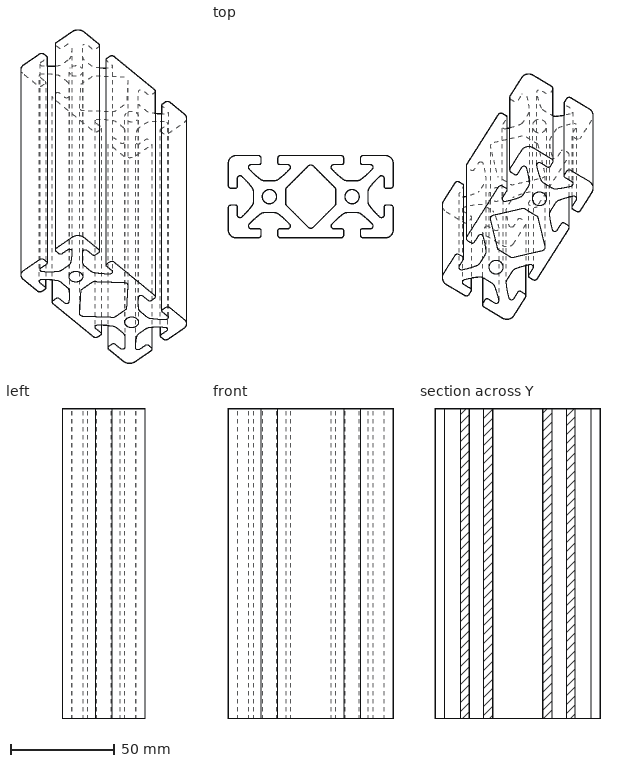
import cadquery as cq
import math

cell = 40.0
cell_count = 2
length = 150.0
width = cell * cell_count
half_cell = cell / 2
corner_radius = 4.0

slot_opening = 8.0
lip_thickness = 4.5
slot_depth = 12.25
lip_outer_radius = 1.5
lip_inner_radius = 1.0
slot_floor_width = 4.4
floor_radius = 3.7
floor_arc_angle = 37.0
slot_wall_radius = 40.0
undercut_radius = 1.3

core_hole_diameter = 6.8
cavity_half_width = 12.0
cavity_reach = 16.0
cavity_side_radius = 1.0
cavity_apex_radius = 1.8

cell_centers = [(index + 0.5) * cell - width / 2 for index in range(cell_count)]


def vertical_edges_at(points):
    """Select the upright edges that pass through the given (x, y) points."""
    tolerance = 0.01
    selector = None
    for x, y in points:
        box = cq.selectors.BoxSelector(
            (x - tolerance, y - tolerance, -tolerance),
            (x + tolerance, y + tolerance, length + tolerance),
        )
        selector = box if selector is None else selector + box
    return selector


def point_on_arc(center, radius, degrees):
    """Point on a circle at an angle measured from straight down toward +X."""
    angle = math.radians(degrees)
    return center[0] + radius * math.sin(angle), center[1] - radius * math.cos(angle)


def make_slot():
    """T-slot void of a cell centred on the Z axis, opening toward +Y.

    Each side is a chain of three tangent arcs running from the floor to the
    underside of the lip.
    """
    floor_y = half_cell - slot_depth
    lip_y = half_cell - lip_thickness
    floor_end = slot_floor_width / 2

    floor_center = (floor_end, floor_y + floor_radius)
    wall_center = point_on_arc(floor_center, floor_radius - slot_wall_radius, floor_arc_angle)

    undercut_y = lip_y - undercut_radius
    center_gap = slot_wall_radius - undercut_radius
    wall_arc_angle = math.degrees(math.acos((wall_center[1] - undercut_y) / center_gap))
    undercut_center = point_on_arc(wall_center, center_gap, wall_arc_angle)

    arcs = [
        (
            point_on_arc(floor_center, floor_radius, floor_arc_angle / 2),
            point_on_arc(floor_center, floor_radius, floor_arc_angle),
        ),
        (
            point_on_arc(wall_center, slot_wall_radius, (floor_arc_angle + wall_arc_angle) / 2),
            point_on_arc(wall_center, slot_wall_radius, wall_arc_angle),
        ),
        (
            point_on_arc(undercut_center, undercut_radius, (wall_arc_angle + 180) / 2),
            (undercut_center[0], lip_y),
        ),
    ]

    floor_start = (floor_end, floor_y)
    outline = cq.Workplane("XY").moveTo(-floor_end, floor_y).lineTo(*floor_start)
    for middle, end in arcs:
        outline = outline.threePointArc(middle, end)
    outline = outline.lineTo(-undercut_center[0], lip_y)
    arc_starts = [floor_start] + [end for _, end in arcs[:-1]]
    for (middle, _), start in zip(reversed(arcs), reversed(arc_starts)):
        outline = outline.threePointArc((-middle[0], middle[1]), (-start[0], start[1]))
    undercut = outline.close().extrude(length)

    throat = (
        cq.Workplane("XY")
        .center(0, half_cell - lip_thickness / 2)
        .rect(slot_opening, lip_thickness)
        .extrude(length)
    )
    return undercut.union(throat)


def make_cavity():
    """Void between the two cells: a diamond with its +X and -X tips cut flat."""
    side_y = cavity_reach - cavity_half_width
    apexes = [(0, cavity_reach), (0, -cavity_reach)]
    right_side = [(cavity_half_width, -side_y), (cavity_half_width, side_y)]
    left_side = [(-cavity_half_width, side_y), (-cavity_half_width, -side_y)]
    return (
        cq.Workplane("XY")
        .polyline([*right_side, apexes[0], *left_side, apexes[1]])
        .close()
        .extrude(length)
        .edges(vertical_edges_at(apexes))
        .fillet(cavity_apex_radius)
        .edges(vertical_edges_at(right_side + left_side))
        .fillet(cavity_side_radius)
    )


def slot_placements():
    """Cell centre and rotation of every slot; inner cell faces have none."""
    placements = []
    for center_x in cell_centers:
        placements.append((center_x, 0))
        placements.append((center_x, 180))
    placements.append((cell_centers[0], 90))
    placements.append((cell_centers[-1], -90))
    return placements


def lip_corners(distance_from_border):
    """Lip corners of all slots at a given depth below the outer faces."""
    corners = []
    for center_x, degrees in slot_placements():
        angle = math.radians(degrees)
        y = half_cell - distance_from_border
        for x in (-slot_opening / 2, slot_opening / 2):
            corners.append((
                center_x + x * math.cos(angle) - y * math.sin(angle),
                x * math.sin(angle) + y * math.cos(angle),
            ))
    return corners


body = cq.Workplane("XY").rect(width, cell).extrude(length)
body = body.edges("|Z").fillet(corner_radius)

slot = make_slot()
for slot_center, slot_angle in slot_placements():
    placed_slot = slot.rotate((0, 0, 0), (0, 0, 1), slot_angle).translate((slot_center, 0, 0))
    body = body.cut(placed_slot)

body = body.edges(vertical_edges_at(lip_corners(0))).fillet(lip_outer_radius)
body = body.edges(vertical_edges_at(lip_corners(lip_thickness))).fillet(lip_inner_radius)

body = body.cut(make_cavity())

core_holes = (
    cq.Workplane("XY")
    .pushPoints([(center_x, 0) for center_x in cell_centers])
    .circle(core_hole_diameter / 2)
    .extrude(length)
)
result = body.cut(core_holes).translate((0, 0, -length / 2))